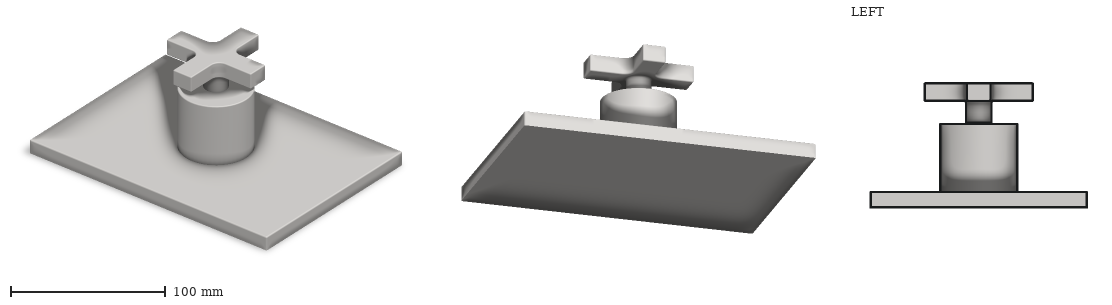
import cadquery as cq

plate_length = 196.8
plate_width = 139.8
plate_thickness = 10.0
plate_edge_radius = 1.0

body_diameter = 50.0
body_top = 54.0
body_edge_radius = 0.8

stem_diameter = 16.5
stem_flare_radius = 1.0
neck_diameter = 12.5
neck_height = 0.8

handle_top = 80.1
handle_thickness = 11.5
handle_span = 69.9
arm_width = 15.2
arm_corner_radius = 6.3
handle_edge_radius = 0.8
handle_bottom = handle_top - handle_thickness


def make_plate():
    """Rectangular plate with rounded top and upright edges and a flat back."""
    plate = cq.Workplane("XY").rect(plate_length, plate_width).extrude(plate_thickness)
    return plate.edges("|Z or >Z").fillet(plate_edge_radius)


def make_body():
    """Cylinder with a rounded top rim."""
    body = cq.Workplane("XY").circle(body_diameter / 2).extrude(body_top)
    return body.faces(">Z").edges().fillet(body_edge_radius)


def make_stem():
    """Turned stem on a narrow neck, flaring out where it meets the underside of the handle."""
    radius = stem_diameter / 2
    neck_top = body_top + neck_height
    flare_start = handle_bottom - stem_flare_radius
    return (
        cq.Workplane("XZ")
        .moveTo(0, body_top)
        .lineTo(neck_diameter / 2, body_top)
        .lineTo(neck_diameter / 2, neck_top)
        .lineTo(radius, neck_top)
        .lineTo(radius, flare_start)
        .radiusArc((radius + stem_flare_radius, handle_bottom), stem_flare_radius)
        .lineTo(0, handle_bottom)
        .close()
        .revolve(360, (0, 0, 0), (0, 1, 0))
    )


def make_handle():
    """Four-armed cross with rounded inside corners and softened outer edges."""
    base = cq.Workplane("XY").workplane(offset=handle_bottom)
    cross = base.rect(handle_span, arm_width).extrude(handle_thickness)
    cross = cross.union(base.rect(arm_width, handle_span).extrude(handle_thickness))
    center_zone = cq.selectors.BoxSelector(
        (-arm_width, -arm_width, 0), (arm_width, arm_width, handle_top)
    )
    cross = cross.edges("|Z").edges(center_zone).fillet(arm_corner_radius)
    cross = cross.edges("|Z").edges(-center_zone).fillet(handle_edge_radius)
    return cross.faces("<Z or >Z").edges().fillet(handle_edge_radius)


result = make_plate().union(make_body()).union(make_stem()).union(make_handle())